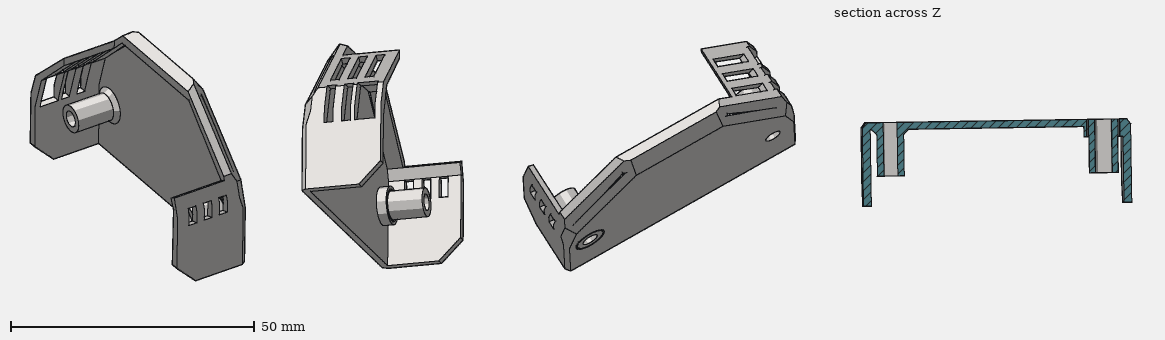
import cadquery as cq
import math

width = 55.25
tilt_about_y = 1.3
turn_about_z = 0.9
floor_depth = 1.5
rim_depth = 4.9
wall_depth = 17.2
wall_thickness = 1.85
corner_cut = 4.65
reach = 111.75

shoulder_z = 16.9
slope_x = 1.6
slope_z = 22.2
top_x = 16.5
peak_z = 36.5

side_inset = 0.8
side_bevel_depth = 1.05
shoulder_inset = 1.85
shoulder_bevel_depth = 2.0
slope_inset = 2.9
slope_bevel_depth = 3.0
top_inset = 3.3
top_bevel_depth = 2.35
top_front_drop = 1.1

inner_top_z = 33.4
inner_top_x = 15.1
inner_slope_x = 3.85
inner_shoulder_z = 14.5
inner_shoulder_x = 1.7
right_inner_slope = (width - 2.55, 20.6)
right_inner_shoulder = (width - 1.6, 18.2)
right_wall_top_z = 21.3
left_panel_end_x = 12.25

slot_width = 1.9
slot_pitch = 3.75
first_slot_depth = 5.0
slot_count = 3
slope_slot_low_z = 24.35
slope_slot_high_z = 31.3
shoulder_slot_low_z = 14.0
shoulder_slot_high_z = 22.6
wide_slot_depth = 11.5
wide_slot_width = 4.4
right_slot_low_z = 13.75
right_slot_high_z = 18.2
right_slot_rise = 0.55

post_diameter = 6.0
post_bore = 3.4
collar_diameter = 8.0
post_depth = 11.05
left_post = (5.75, 11.6)
right_post = (width - 5.7, 11.6)
cone_height = 1.0
collar_depth = 3.65
gap_diameter = 6.75
neck_diameter = 6.15
web_width = 0.65
web_angles = (-30, 30)


def plate(points, start, end):
    """Extrude an XZ outline from one depth to another, measured from the back face."""
    sketch = cq.Workplane("XZ", origin=(0, -start, 0)).polyline(points).close()
    return sketch.extrude(end - start)


def cylinder(center, diameter, start, end):
    x, z = center
    plane = cq.Workplane("XZ", origin=(x, -start, z))
    return plane.circle(diameter / 2).extrude(end - start)


def box(x_range, depth_range, z_range):
    (x0, x1), (d0, d1), (z0, z1) = x_range, depth_range, z_range
    solid = cq.Workplane("XY").box(x1 - x0, d1 - d0, z1 - z0, centered=False)
    return solid.translate((x0, -d1, z0))


def edge_cutter(start, end, profile):
    """Prism along an outline edge; profile points are (outward offset, depth)."""
    dx, dz = end[0] - start[0], end[1] - start[1]
    length = math.hypot(dx, dz)
    along = (dx / length, 0, dz / length)
    outward = (-dz / length, 0, dx / length)
    origin = (start[0] - reach * along[0], 0, start[1] - reach * along[2])
    plane = cq.Plane(origin=origin, xDir=outward, normal=along)
    side = plane.yDir.y
    points = [(offset, -depth * side) for offset, depth in profile]
    return cq.Workplane(plane).polyline(points).close().extrude(2 * reach)


def bevel(start, end, inset, depth):
    """Everything outside the bevel plane of one outline edge."""
    far_depth = depth * (inset + reach) / inset
    return edge_cutter(start, end, [(-inset, 0), (reach, far_depth), (reach, 0)])


def mirrored(points):
    return [(width - x, z) for x, z in reversed(points)]


left_outer = [(0, 0), (0, shoulder_z), (slope_x, slope_z), (top_x, peak_z)]
outer = left_outer + mirrored(left_outer)
left_inner = [
    (wall_thickness, 0),
    (inner_shoulder_x, inner_shoulder_z),
    (inner_slope_x, slope_z),
    (inner_top_x, inner_top_z),
]
right_inner = [
    (width - inner_top_x, inner_top_z),
    right_inner_slope,
    right_inner_shoulder,
    (width - wall_thickness, 0),
]

body = plate(outer, 0, rim_depth)
body = body.cut(plate(left_inner + right_inner, floor_depth, rim_depth))

left_wall = plate(left_outer + left_inner[::-1], floor_depth, wall_depth)
left_wall = left_wall.intersect(box((0, left_panel_end_x), (0, wall_depth), (0, peak_z)))
body = body.union(left_wall)

shoulder_run = slope_x / (slope_z - shoulder_z)
right_wall_top_x = width - shoulder_run * (right_wall_top_z - shoulder_z)
right_outer = [(width, 0), (width, shoulder_z), (right_wall_top_x, right_wall_top_z)]
body = body.union(plate(right_outer + right_inner[1:], floor_depth, wall_depth))

edge_bevels = [
    (side_inset, side_bevel_depth),
    (shoulder_inset, shoulder_bevel_depth),
    (slope_inset, slope_bevel_depth),
]
edge_bevels = edge_bevels + [(top_inset, top_bevel_depth)] + edge_bevels[::-1]
for start, end, (inset, depth) in zip(outer, outer[1:], edge_bevels):
    body = body.cut(bevel(start, end, inset, depth))

top_fall = [
    (0, top_bevel_depth),
    (reach, top_bevel_depth),
    (reach, rim_depth),
    (-top_front_drop, rim_depth),
]
body = body.cut(edge_cutter(outer[3], outer[4], top_fall))

corner = [(-wall_depth, 0), (-wall_depth, corner_cut), (corner_cut - wall_depth, 0)]
body = body.cut(cq.Workplane("YZ").polyline(corner).close().extrude(width))

slope_ratio = (top_x - slope_x) / (peak_z - slope_z)


def slope_point(z, offset):
    """Point beside the left slope, offset inward at right angles to it."""
    length = math.hypot(slope_ratio, 1)
    x = slope_x + slope_ratio * (z - slope_z)
    return (x + offset / length, z - offset * slope_ratio / length)


slot_cut = 3.35
slope_slot = [
    slope_point(slope_slot_low_z, -slot_cut),
    slope_point(slope_slot_high_z, -slot_cut),
    slope_point(slope_slot_high_z, slot_cut),
    slope_point(slope_slot_low_z, slot_cut),
]
right_slot = [
    (width - 2 * wall_thickness, right_slot_low_z - right_slot_rise),
    (width, right_slot_low_z + right_slot_rise),
    (width, right_slot_high_z),
    (width - 2 * wall_thickness, right_slot_high_z),
]
shoulder_slots = [(first_slot_depth + i * slot_pitch, slot_width) for i in range(slot_count - 1)]
shoulder_slots.append((wide_slot_depth, wide_slot_width))

for i in range(slot_count):
    slot_start = first_slot_depth + i * slot_pitch
    body = body.cut(plate(slope_slot, slot_start, slot_start + slot_width))
    body = body.cut(plate(right_slot, slot_start, slot_start + slot_width))

for slot_start, opening in shoulder_slots:
    depth_range = (slot_start, slot_start + opening)
    z_range = (shoulder_slot_low_z, shoulder_slot_high_z)
    body = body.cut(box((0, 2 * inner_slope_x), depth_range, z_range))

foot_center = cq.Vector(left_post[0], -floor_depth, left_post[1])
foot = cq.Solid.makeCone(
    collar_diameter / 2, post_diameter / 2, cone_height, foot_center, cq.Vector(0, -1, 0)
)
body = body.union(cq.Workplane(foot)).union(cylinder(left_post, post_diameter, 0, post_depth))

body = body.union(cylinder(right_post, collar_diameter, floor_depth, collar_depth))
gap = cylinder(right_post, gap_diameter, 0, collar_depth)
gap = gap.cut(cylinder(right_post, neck_diameter, 0, collar_depth))
for angle in web_angles:
    web = box((0, collar_diameter / 2), (0, floor_depth), (-web_width / 2, web_width / 2))
    web = web.rotate((0, 0, 0), (0, 1, 0), angle)
    gap = gap.cut(web.translate((right_post[0], 0, right_post[1])))
body = body.cut(gap).union(cylinder(right_post, post_diameter, 0, post_depth))

for post in (left_post, right_post):
    body = body.cut(cylinder(post, post_bore, 0, post_depth))

result = body.rotate((0, 0, 0), (0, 1, 0), tilt_about_y).rotate((0, 0, 0), (0, 0, 1), turn_about_z)